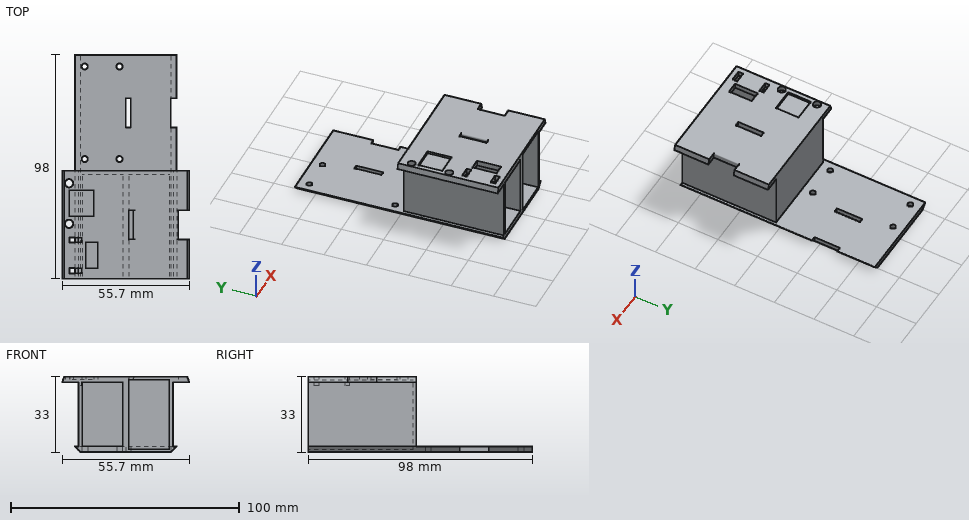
import cadquery as cq

length = 98.0
height = 33.0
housing_length = 47.4
plate_thickness = 2.55
top_bottom_width = 55.7
top_upper_width = 53.9
base_upper_width = 44.5
base_lower_width = 39.6
body_width = 41.4
side_wall = 1.6
divider = 2.7
back_wall = side_wall
thin_skin = plate_thickness / 2
through_margin = 1.0

top_underside = height - plate_thickness
half_body = body_width / 2
half_divider = divider / 2
cavity_width = half_body - side_wall - half_divider
cavity_depth = housing_length - back_wall

pocket_x, pocket_y = -24.8, 27.4
pocket_width, pocket_length, pocket_depth = 10.8, 11.4, 1.1
window_x, window_y = -17.55, 4.7
window_width, window_length = 5.3, 11.4
clip_x, clip_width = -24.5, 5.2
clip_places = [(2.5, 2.3), (16.0, 2.1)]
clip_depth = plate_thickness + 1.3
latch_length = 12.7
top_latch_y = 17.3
base_latch_y = 66.3
top_slot_x, top_slot_width = half_divider, 2.0
slot_round, notch_round = 0.6, 0.4
base_slot_x, base_slot_width = 0.1, 2.1
top_notch_x = 23.0
base_notch_x = base_lower_width / 2

top_hole_diameter = 3.5
top_hole_x = -24.8
top_hole_rows = (24.1, 41.9)
base_hole_diameter = 2.55
base_hole_columns = (-17.9, -2.7)
base_hole_rows = (52.5, 92.9)


def block(x, y, z, width, depth, tall):
    """Box placed by its lowest corner."""
    return cq.Workplane("XY").box(width, depth, tall, centered=False).translate((x, y, z))


def bevelled_plate(lower_width, upper_width, bottom, depth):
    """Plate whose two long edges slope between its lower and upper widths."""
    top = bottom + plate_thickness
    outline = [
        (-lower_width / 2, bottom),
        (lower_width / 2, bottom),
        (upper_width / 2, top),
        (-upper_width / 2, top),
    ]
    return cq.Workplane("XZ").polyline(outline).close().extrude(-depth)


def plate_cut(x, y, width, depth, bottom):
    """Rectangular opening through one plate."""
    return block(x, y, bottom, width, depth, plate_thickness)


def plate_holes(diameter, columns, rows, bottom):
    """Grid of round holes through one plate."""
    places = [(x, y) for x in columns for y in rows]
    plane = cq.Workplane("XY").workplane(offset=bottom)
    return plane.pushPoints(places).circle(diameter / 2).extrude(plate_thickness)


def lip_round(wall_x, direction, radius):
    """Waste removed to round a latch wall's upper edge; direction points into the material."""
    corner = block(
        min(wall_x, wall_x + direction * radius), top_latch_y, height - radius,
        radius, latch_length, radius,
    )
    roller = (
        cq.Workplane("XZ", origin=(0, top_latch_y, 0))
        .center(wall_x + direction * radius, height - radius)
        .circle(radius)
        .extrude(-latch_length)
    )
    return corner.cut(roller)


base = bevelled_plate(base_lower_width, base_upper_width, 0, length)
top_plate = bevelled_plate(top_bottom_width, top_upper_width, top_underside, housing_length)
body = block(-half_body, 0, thin_skin, body_width, housing_length, height - 2 * thin_skin)
result = base.union(top_plate).union(body)

left_bay = block(
    -half_divider - cavity_width, 0, plate_thickness,
    cavity_width, cavity_depth, height - 2 * plate_thickness,
)
right_bay = block(
    half_divider, 0, thin_skin, cavity_width, cavity_depth, height - 2 * thin_skin
)
result = result.cut(left_bay).cut(right_bay)

result = result.cut(
    block(pocket_x, pocket_y, height - pocket_depth, pocket_width, pocket_length, pocket_depth)
)
result = result.cut(plate_cut(window_x, window_y, window_width, window_length, top_underside))
for clip_y, clip_length in clip_places:
    result = result.cut(
        block(clip_x, clip_y, height - clip_depth, clip_width, clip_length, clip_depth)
    )

notch_width = top_bottom_width / 2 - top_notch_x + through_margin
result = result.cut(plate_cut(top_slot_x, top_latch_y, top_slot_width, latch_length, top_underside))
result = result.cut(plate_cut(top_notch_x, top_latch_y, notch_width, latch_length, top_underside))
result = result.cut(lip_round(top_slot_x + top_slot_width, 1, slot_round))
result = result.cut(lip_round(top_notch_x, -1, notch_round))

result = result.cut(plate_cut(base_slot_x, base_latch_y, base_slot_width, latch_length, 0))
notch_width = base_upper_width / 2 - base_notch_x + through_margin
result = result.cut(plate_cut(base_notch_x, base_latch_y, notch_width, latch_length, 0))

result = result.cut(plate_holes(top_hole_diameter, (top_hole_x,), top_hole_rows, top_underside))
result = result.cut(plate_holes(base_hole_diameter, base_hole_columns, base_hole_rows, 0))